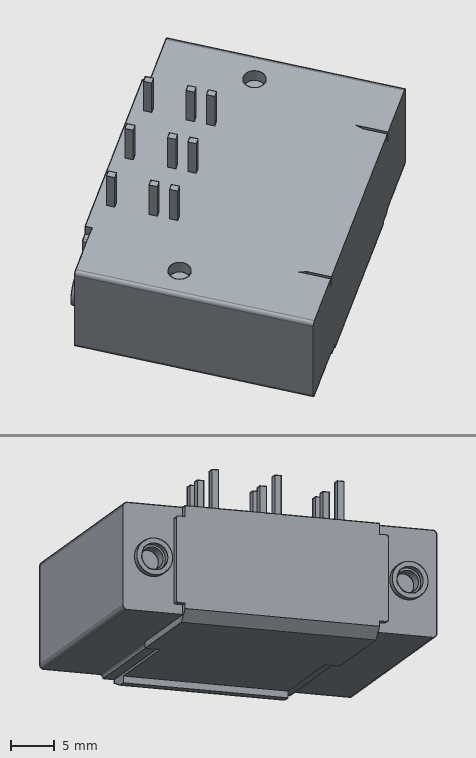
import cadquery as cq

length = 29.25
width = 38.1

ear_setback = 0.85
ear_height = 12.7
ear_edge_radius = 0.5

core_width = 23.62
core_height = 13.5
core_front_chamfer = 1.3
flange_width = 25.7
flange_top = -1.3
flange_bottom = -11.55
flange_edge_radius = 0.23

keel_step_x = 13.65
ledge_height = 0.45

tab_width = 20.0
tab_start_x = 26.15
tab_flat_end_x = 27.28
tab_bottom = -14.3
tab_tip_bottom = -13.55

slot_start_x = 25.45
slot_full_x = 26.35
slot_width = 0.3
slot_depth = -flange_top

hole_y = 15.43
hole_x = 12.3
hole_diameter = 2.63
hole_depth = 1.65
boss_y = 15.5
boss_z = -ear_height / 2
boss_diameter = 4.35
boss_bore_diameter = 2.63
boss_bore_depth = 2.48
boss_counterbore_diameter = 3.15
boss_counterbore_depth = ear_setback

pin_columns_x = (1.95, 7.0, 9.45)
pin_pitch_y = 7.62
pin_size_x = 1.0
pin_size_y = 0.8
pin_height = 5.0


def block(x_start, x_end, size_y, z_bottom, z_top):
    """Box centred on Y between the given X and Z limits."""
    size_x = x_end - x_start
    size_z = z_top - z_bottom
    plane = cq.Workplane("XY", origin=(x_start, 0, z_bottom))
    return plane.box(size_x, size_y, size_z, centered=(False, True, False))


def front_cylinder(y, diameter, depth):
    """Cylinder on a boss axis, running along +X from the front plane X = 0."""
    plane = cq.Workplane("YZ", origin=(0, y, boss_z))
    return plane.circle(diameter / 2).extrude(depth)


def make_ears():
    ears = block(ear_setback, length, width, -ear_height, 0)
    return ears.edges("|X").fillet(ear_edge_radius)


def make_core():
    front_keel = block(0, keel_step_x, core_width, -core_height, 0)
    front_keel = front_keel.edges("<X and <Z").chamfer(core_front_chamfer)
    flange = block(0, length, flange_width, flange_bottom, flange_top)
    flange = flange.edges("|X").fillet(flange_edge_radius)
    rear_keel = block(keel_step_x, length, tab_width, -core_height, -ear_height)
    return front_keel.union(flange).union(rear_keel)


def make_rear_ledge():
    """Low ledge whose sides sweep up into the ear undersides in concave fillets."""
    outer_y = core_width / 2
    wall_y = outer_y - ledge_height
    ledge_z = -ear_height - ledge_height
    profile = (
        cq.Workplane("YZ", origin=(keel_step_x, 0, 0))
        .moveTo(-outer_y, -ear_height)
        .radiusArc((-wall_y, ledge_z), ledge_height)
        .lineTo(wall_y, ledge_z)
        .radiusArc((outer_y, -ear_height), ledge_height)
        .close()
    )
    return profile.extrude(length - keel_step_x)


def make_latch_tab():
    profile = [
        (tab_start_x, -ear_height),
        (tab_start_x, tab_bottom),
        (tab_flat_end_x, tab_bottom),
        (length, tab_tip_bottom),
        (length, -ear_height),
    ]
    return cq.Workplane("XZ").polyline(profile).close().extrude(tab_width / 2, both=True)


def make_relief_slot(side):
    outer_y = side * core_width / 2
    inner_y = outer_y - side * slot_width
    outline = [(slot_start_x, outer_y), (slot_full_x, inner_y), (length, inner_y), (length, outer_y)]
    return cq.Workplane("XY").polyline(outline).close().extrude(-slot_depth)


def make_pins():
    centers = [(x, row * pin_pitch_y) for x in pin_columns_x for row in (-1, 0, 1)]
    return cq.Workplane("XY").pushPoints(centers).rect(pin_size_x, pin_size_y).extrude(pin_height)


result = make_ears().union(make_core()).union(make_rear_ledge())
result = result.union(make_latch_tab()).union(make_pins())

for side in (-1, 1):
    result = result.cut(make_relief_slot(side))

    axis_y = side * boss_y
    result = result.union(front_cylinder(axis_y, boss_diameter, ear_setback))
    result = result.cut(front_cylinder(axis_y, boss_counterbore_diameter, boss_counterbore_depth))
    result = result.cut(front_cylinder(axis_y, boss_bore_diameter, boss_bore_depth))

    hole_plane = cq.Workplane("XY").center(hole_x, side * hole_y)
    mounting_hole = hole_plane.circle(hole_diameter / 2).extrude(-hole_depth)
    result = result.cut(mounting_hole)